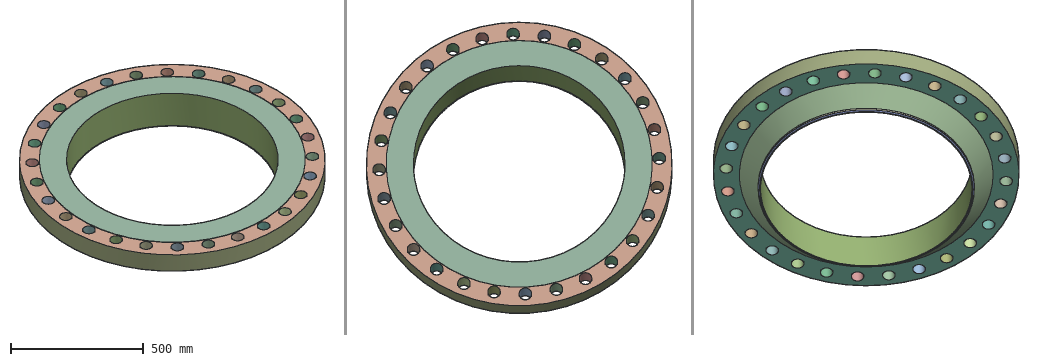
import cadquery as cq

outer_diameter = 1149.0
total_height = 157.0
raised_face_diameter = 1000.0
raised_face_height = 1.6
plate_bottom_depth = 80.0
bore_diameter = 795.0

hub_base_diameter = 954.0
neck_diameter = 814.0
neck_height = 11.0
bevel_width = 6.0
bevel_height = 3.0

bolt_count = 28
bolt_circle_diameter = 1054.0
bolt_hole_diameter = 47.0

outer_radius = outer_diameter / 2
raised_face_radius = raised_face_diameter / 2
bore_radius = bore_diameter / 2
hub_base_radius = hub_base_diameter / 2
neck_radius = neck_diameter / 2
plate_bottom = total_height - plate_bottom_depth
plate_top = total_height - raised_face_height


def revolved_body():
    """Ring with raised face, plate, hub and beveled neck, resting on Z = 0."""
    half_section = [
        (bore_radius, 0),
        (neck_radius - bevel_width, 0),
        (neck_radius, bevel_height),
        (neck_radius, neck_height),
        (hub_base_radius, plate_bottom),
        (outer_radius, plate_bottom),
        (outer_radius, plate_top),
        (raised_face_radius, plate_top),
        (raised_face_radius, total_height),
        (bore_radius, total_height),
    ]
    return cq.Workplane("XZ").polyline(half_section).close().revolve(360, (0, 0), (0, 1))


def bolt_holes():
    """Ring of through-hole cutters, the first one on the X axis."""
    return (
        cq.Workplane("XY")
        .polarArray(bolt_circle_diameter / 2, 0, 360, bolt_count)
        .circle(bolt_hole_diameter / 2)
        .extrude(total_height)
    )


result = revolved_body().cut(bolt_holes())